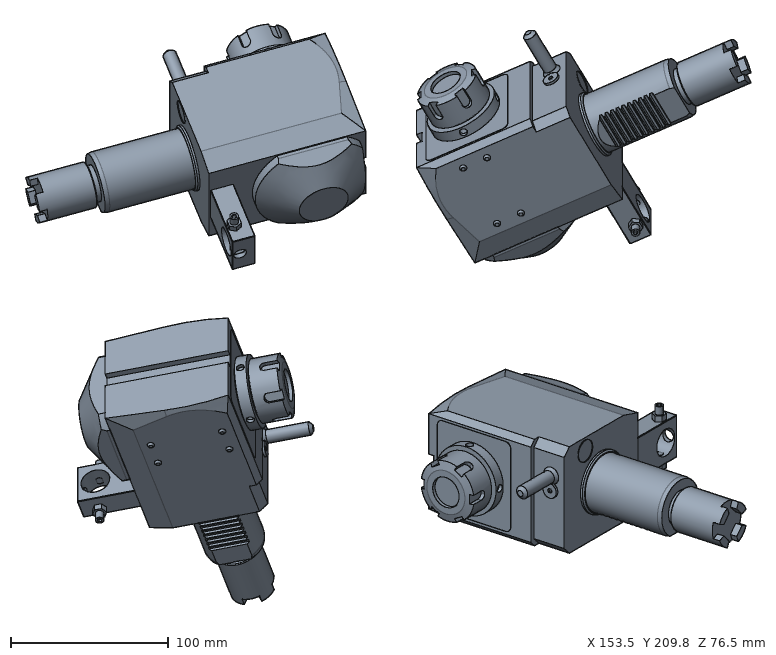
import cadquery as cq
import math


LEFT = (-1, 0, 0)
RIGHT = (1, 0, 0)
FORWARD = (0, -1, 0)
UP = (0, 0, 1)

total_length = 209.8
housing_length = 105.1
housing_left = -42.0
housing_right = 39.0
housing_half_height = 37.5
left_chamfer = 4.0
taper_angle = math.radians(15)
taper_width = 15.3
step_length = 24.1
step_left = -38.8
step_chamfer = 5.5
back_slot_width = 10.0
back_slot_depth = 4.0
crown_peak_x = -12.5
crown_peak_height = 36.7
crown_arc_end_x = 0.0
crown_arc_end_height = 36.3
crown_cutter_margin = 10.5
plug_radius = 7.5
plug_x = -16.2
plug_z = 28.0
plug_recess = 0.6
pin_radius = 2.3
pin_tip_radius = 1.3
pin_height = 1.5
pin_center_x = -7.0
pin_spacing_x = 47.0
pin_spacing_y = 17.0

spindle_y = 69.3
nut_front_x = -71.5
nut_radius = 21.0
nut_length = 20.4
nut_cone_length = 1.7
nut_face_radius = 15.1
collet_bore_radius = 10.5
collet_bore_depth = 2.5
spindle_overlap = 2.0
neck_radius = 18.9
neck_length = 0.8
ring_radius = 24.0
ring_length = 7.5
ring_hole_radius = 2.5
ring_hole_depth = 2.5
ring_hole_cone_depth = 1.5
ring_hole_count = 4
nut_slot_count = 6
nut_slot_width = 6.5
nut_slot_length = 13.0
nut_slot_depth = 3.0
nut_slot_corner = 3.1
panel_half_length = 29.2
panel_half_height = 31.7
panel_corner = 4.2
panel_depth = 0.2

hub_radius = 40.0
hub_rim_length = 5.7
hub_length = 22.9
hub_end_radius = 16.4
hub_half_height = 32.5
hub_taper_start = 2.3
hub_back_offset = 31.7

shank_radius = 20.0
shank_length = 62.7
shank_chamfer_length = 3.0
shank_chamfer = 0.6
flange_radius = 21.6
flange_length = 2.5
flange_chamfer = 1.0
shank_neck_radius = 12.2
shank_neck_length = 3.5
drive_radius = 15.1
drive_length = 33.4
drive_chamfer = 0.6
dog_count = 4
dog_angle = math.radians(45)
dog_inner_flat = 9.7
rack_flat_z = -16.2
rack_root_z = -15.0
rack_first_y = -11.3
rack_pitch = 4.0
rack_groove_count = 10
rack_root_width = 1.7
rack_mouth_width = 3.1
rack_runout_y = -9.9
rack_runout_angle = math.radians(35)

side_y = 10.3
rod_z = 16.4
rod_radius = 4.5
rod_tip_radius = 2.0
rod_tip_length = 2.0
rod_collar_radius = 5.9
rod_collar_length = 2.5
screw_z = 6.3
screw_radius = 5.2
screw_height = 1.7
screw_socket_width = 3.1
screw_socket_depth = 1.3

bracket_right = 82.0
bracket_front_y = 1.3
bracket_back_y = 16.5
bracket_half_height = 15.0
bracket_chamfer = 0.5
clamp_x = 70.0
clamp_bore_radius = 9.5
clamp_screw_y = 6.5
clamp_screw_radius = 2.7
clamp_screw_end = 25.0
clamp_screw_tip = 9.2
clamp_nut_corners = 9.2
clamp_nut_height = 4.2
clamp_socket_width = 3.1
clamp_socket_depth = 1.7
cross_hole_radius = 4.2


def box(x_range, y_range, z_range):
    """Box between two limits along each axis."""
    size = [high - low for low, high in (x_range, y_range, z_range)]
    corner = (x_range[0], y_range[0], z_range[0])
    return cq.Workplane("XY").box(*size, centered=False).translate(corner)


def cylinder(radius, start, direction, length):
    """Cylinder grown from start along direction."""
    return cq.Workplane(cq.Plane(start, normal=direction)).circle(radius).extrude(length)


def hexagon(corner_width, start, direction, length):
    """Hexagonal bar grown from start along direction."""
    plane = cq.Plane(start, xDir=FORWARD if direction[0] else RIGHT, normal=direction)
    return cq.Workplane(plane).polygon(6, corner_width).extrude(length)


def turned(start, direction, profile):
    """Solid of revolution from (distance along the axis, radius) points."""
    plane = cq.Plane(start, xDir=direction, normal=UP)
    points = [(profile[0][0], 0)] + profile + [(profile[-1][0], 0)]
    return cq.Workplane(plane).polyline(points).close().revolve(360, (0, 0), (1, 0))


def housing_block(left, chamfer, y_start, y_end):
    """Housing section: chamfered on the left, tapered on the right."""
    top = housing_half_height
    taper_x = housing_right - taper_width
    side_z = top - taper_width * math.tan(taper_angle)
    upper = [(left, top - chamfer), (left + chamfer, top), (taper_x, top), (housing_right, side_z)]
    lower = [(x, -z) for x, z in reversed(upper)]
    plane = cq.Plane((0, y_start, 0), xDir=RIGHT, normal=(0, 1, 0))
    return cq.Workplane(plane).polyline(upper + lower).close().extrude(y_end - y_start)


def crown_cutter():
    """Sloping cutter with an arched outline for the upper rear edge."""
    cosine = math.cos(taper_angle)
    corner_z = housing_half_height - left_chamfer
    right_z = housing_half_height - taper_width * math.tan(taper_angle)
    outer_z = housing_half_height + crown_cutter_margin
    plane = cq.Plane((0, housing_length, 0), xDir=RIGHT, normal=(0, -cosine, math.sin(taper_angle)))
    return (
        cq.Workplane(plane)
        .moveTo(housing_left, corner_z * cosine)
        .threePointArc(
            (crown_peak_x, crown_peak_height * cosine),
            (crown_arc_end_x, crown_arc_end_height * cosine),
        )
        .lineTo(housing_right, right_z * cosine)
        .lineTo(housing_right, outer_z)
        .lineTo(housing_left, outer_z)
        .close()
        .extrude(2 * crown_cutter_margin, both=True)
    )


def make_housing():
    housing = housing_block(housing_left, left_chamfer, step_length, housing_length)
    housing = housing.union(housing_block(step_left, step_chamfer, 0, step_length))
    crown = crown_cutter()
    housing = housing.cut(crown).cut(crown.mirror("XY"))
    housing = housing.cut(
        box(
            (housing_left, housing_right),
            (housing_length - back_slot_depth, housing_length),
            (-back_slot_width / 2, back_slot_width / 2),
        )
    )
    panel = box(
        (housing_left, housing_left + panel_depth),
        (spindle_y - panel_half_length, spindle_y + panel_half_length),
        (-panel_half_height, panel_half_height),
    )
    housing = housing.cut(panel.edges("|X").fillet(panel_corner))
    housing = housing.cut(cylinder(plug_radius, (plug_x, -plug_recess, plug_z), (0, 1, 0), 2 * plug_recess))
    for side_sign in (-1, 1):
        for end_sign in (-1, 1):
            x = pin_center_x + side_sign * pin_spacing_x / 2
            y = spindle_y + end_sign * pin_spacing_y / 2
            tip = cq.Workplane(cq.Plane((x, y, -housing_half_height), normal=(0, 0, -1)))
            tip = tip.circle(pin_radius).workplane(offset=pin_height).circle(pin_tip_radius).loft()
            housing = housing.union(tip)
    return housing


def make_spindle():
    nut_end = nut_length
    ring_start = nut_end + neck_length
    ring_end = ring_start + ring_length
    inside_housing = housing_left - nut_front_x + spindle_overlap
    spindle = turned(
        (nut_front_x, spindle_y, 0),
        RIGHT,
        [
            (0, nut_face_radius),
            (nut_cone_length, nut_radius),
            (nut_end, nut_radius),
            (nut_end, neck_radius),
            (ring_start, neck_radius),
            (ring_start, ring_radius),
            (ring_end, ring_radius),
            (ring_end, nut_radius),
            (inside_housing, nut_radius),
        ],
    )
    center = (nut_front_x, spindle_y, 0)
    spindle = spindle.cut(cylinder(collet_bore_radius, center, RIGHT, collet_bore_depth))

    slot = box(
        (nut_front_x - nut_slot_length, nut_front_x + nut_slot_length),
        (nut_radius - nut_slot_depth, nut_radius + nut_slot_depth),
        (-nut_slot_width / 2, nut_slot_width / 2),
    )
    slot = slot.edges("|Y and >X").fillet(nut_slot_corner)
    for i in range(nut_slot_count):
        turned_slot = slot.rotate((0, 0, 0), RIGHT, i * 360 / nut_slot_count)
        spindle = spindle.cut(turned_slot.translate((0, spindle_y, 0)))

    ring_middle_x = nut_front_x + (ring_start + ring_end) / 2
    hole_start = (ring_middle_x, 0, ring_radius - ring_hole_depth)
    hole = cylinder(ring_hole_radius, hole_start, UP, 2 * ring_hole_depth)
    drill_point = cq.Solid.makeCone(
        ring_hole_radius, 0, ring_hole_cone_depth, cq.Vector(hole_start), cq.Vector(0, 0, -1)
    )
    hole = hole.union(cq.Workplane(drill_point))
    for i in range(ring_hole_count):
        turned_hole = hole.rotate((0, 0, 0), RIGHT, i * 360 / ring_hole_count)
        spindle = spindle.cut(turned_hole.translate((0, spindle_y, 0)))
    return spindle


def make_hub():
    """Cone-ended hub trimmed by sloping top and bottom planes and a flat rear side."""
    hub = turned(
        (housing_right, spindle_y, 0),
        RIGHT,
        [(0, hub_radius), (hub_rim_length, hub_radius), (hub_length, hub_end_radius)],
    )
    end_half_height = hub_half_height - (hub_length - hub_taper_start) * math.tan(taper_angle)
    upper = [
        (housing_right, hub_half_height),
        (housing_right + hub_taper_start, hub_half_height),
        (housing_right + hub_length, end_half_height),
    ]
    lower = [(x, -z) for x, z in reversed(upper)]
    envelope = (
        cq.Workplane(cq.Plane((0, spindle_y + hub_back_offset, 0), xDir=RIGHT, normal=FORWARD))
        .polyline(upper + lower)
        .close()
        .extrude(hub_back_offset + hub_radius)
    )
    return hub.intersect(envelope)


def cut_rack(shank):
    """Flat along the shank's underside with a sloping run-out and a row of tooth grooves."""
    runout_rise = flange_radius + rack_flat_z
    outline = [
        (-shank_length, rack_flat_z),
        (rack_runout_y, rack_flat_z),
        (rack_runout_y + runout_rise / math.tan(rack_runout_angle), -flange_radius),
        (-shank_length, -flange_radius),
    ]
    side_plane = cq.Workplane("YZ")
    shank = shank.cut(side_plane.polyline(outline).close().extrude(flange_radius, both=True))
    for i in range(rack_groove_count):
        y = rack_first_y - i * rack_pitch
        groove = [
            (y - rack_root_width / 2, rack_root_z),
            (y + rack_root_width / 2, rack_root_z),
            (y + rack_mouth_width / 2, rack_flat_z),
            (y - rack_mouth_width / 2, rack_flat_z),
        ]
        shank = shank.cut(side_plane.polyline(groove).close().extrude(flange_radius, both=True))
    return shank


def make_drive_dogs(start, length):
    """Wedge-shaped coupling dogs on the end of the drive shaft."""
    reach = 2 * drive_radius
    side_slope = math.tan(dog_angle / 2)
    wedge = [
        (dog_inner_flat, -dog_inner_flat * side_slope),
        (reach, -reach * side_slope),
        (reach, reach * side_slope),
        (dog_inner_flat, dog_inner_flat * side_slope),
    ]
    plane = cq.Plane((0, -start, 0), xDir=RIGHT, normal=FORWARD)
    disc = cq.Workplane(plane).circle(drive_radius).extrude(length)
    wedges = cq.Workplane(plane)
    for i in range(dog_count):
        dog = cq.Workplane(plane).polyline(wedge).close().extrude(length)
        wedges = wedges.add(dog.rotate((0, 0, 0), FORWARD, (i + 0.5) * 360 / dog_count))
    return wedges.combine().intersect(disc)


def make_shank():
    shank = turned(
        (0, 0, 0),
        FORWARD,
        [
            (0, flange_radius),
            (flange_length - flange_chamfer, flange_radius),
            (flange_length, flange_radius - flange_chamfer),
            (flange_length, shank_radius),
            (shank_length - shank_chamfer_length, shank_radius),
            (shank_length, shank_radius - shank_chamfer),
        ],
    )
    shank = cut_rack(shank)
    drive_start = shank_length + shank_neck_length
    drive_end = drive_start + drive_length
    drive = turned(
        (0, 0, 0),
        FORWARD,
        [
            (shank_length, shank_neck_radius),
            (drive_start, shank_neck_radius),
            (drive_start, drive_radius - drive_chamfer),
            (drive_start + drive_chamfer, drive_radius),
            (drive_end, drive_radius),
        ],
    )
    dog_length = total_length - housing_length - drive_end
    return shank.union(drive).union(make_drive_dogs(drive_end, dog_length))


def make_side_pin():
    """Pin with a bevelled tip and a flared foot."""
    length = step_left - nut_front_x
    return turned(
        (step_left, side_y, rod_z),
        LEFT,
        [
            (0, rod_collar_radius),
            (rod_collar_length, rod_radius),
            (length - rod_tip_length, rod_radius),
            (length, rod_tip_radius),
        ],
    )


def make_side_screw():
    screw = cylinder(screw_radius, (step_left, side_y, screw_z), LEFT, screw_height)
    head = (step_left - screw_height, side_y, screw_z)
    return screw.cut(hexagon(screw_socket_width, head, RIGHT, screw_socket_depth))


def make_bracket():
    bracket = box(
        (housing_right, bracket_right),
        (bracket_front_y, bracket_back_y),
        (-bracket_half_height, bracket_half_height),
    )
    bracket = bracket.edges(">X or (|X and >Z) or (|X and <Z)").chamfer(bracket_chamfer)
    bore_length = bracket_back_y - bracket_front_y
    bracket = bracket.cut(
        cylinder(clamp_bore_radius, (clamp_x, bracket_back_y, 0), FORWARD, bore_length)
    )
    bracket = bracket.cut(
        cylinder(cross_hole_radius, (clamp_x, clamp_screw_y, 0), RIGHT, bracket_right - clamp_x)
    )
    for side in (-1, 1):
        outward = (0, 0, side)
        tip = (clamp_x, clamp_screw_y, side * clamp_screw_tip)
        seat = (clamp_x, clamp_screw_y, side * bracket_half_height)
        end = (clamp_x, clamp_screw_y, side * clamp_screw_end)
        screw = cylinder(clamp_screw_radius, tip, outward, clamp_screw_end - clamp_screw_tip)
        screw = screw.cut(hexagon(clamp_socket_width, end, (0, 0, -side), clamp_socket_depth))
        nut = hexagon(clamp_nut_corners, seat, outward, clamp_nut_height)
        bracket = bracket.union(nut).union(screw)
    return bracket


result = make_housing()
for component in (
    make_spindle(),
    make_hub(),
    make_shank(),
    make_side_pin(),
    make_side_screw(),
    make_bracket(),
):
    result = result.union(component)